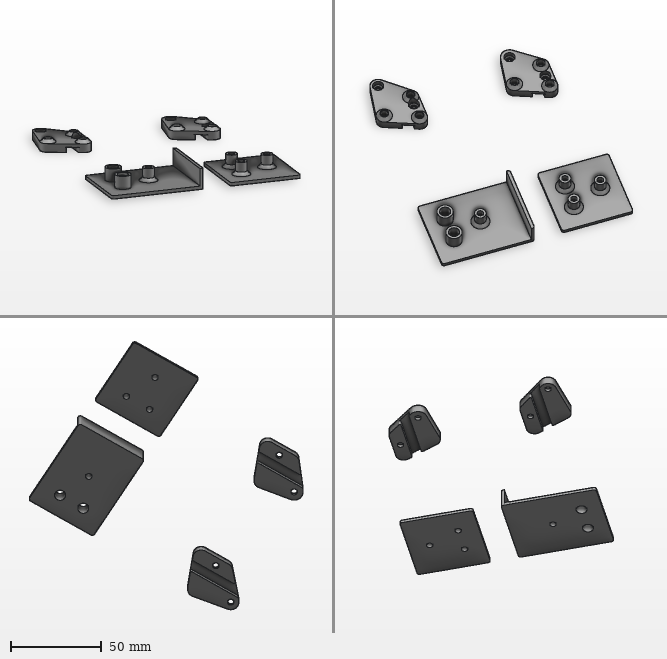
import cadquery as cq
import math

half_pitch = 7.5
post_rise = 18.0

plate_bottom = 2.0
plate_thickness = 2.0
plate_top = plate_bottom + plate_thickness
plate_width = 42.0
plate_corner_radius = 1.5
pair_margin = 11.5
back_apex_margin = 12.0
front_apex_margin = 24.5
back_pair_y = 0.0
front_pair_y = -70.0
wall_thickness = 2.0
wall_top = 14.0

post_top = 11.5
slim_post_diameter = 6.5
slim_bore = 3.5
wide_post_diameter = 9.0
wide_bore = 6.0
collar_height = 2.0

lever_thickness = 5.0
boss_radius = 4.5
boss_tip_diameter = 4.8
boss_height = 2.0
boss_floor = 2.0
screw_hole = 3.5
screw_recess = 6.0
recess_floor = 2.0
arm_dx = -18.5
arm_dy = -14.5
slot_width = 6.0
slot_depth = 3.0
slot_center_y = -7.0
slot_mouth_radius = 0.55

back_lever_x = -82.5
back_lever_y = back_pair_y - arm_dy
back_hole_shift = 0.0
back_arm_radius = 5.0
back_boss_hole = 4.8

front_lever_x = -85.49
front_lever_y = -60.5
front_hole_shift = -2.0
front_arm_radius = boss_radius
front_boss_hole = 4.0


def cylinder(x, y, diameter, bottom, top):
    return cq.Workplane("XY", origin=(x, y, bottom)).circle(diameter / 2).extrude(top - bottom)


def cone(x, y, foot_radius, tip_radius, bottom, height):
    axis_foot = cq.Vector(x, y, bottom)
    return cq.Workplane(cq.Solid.makeCone(foot_radius, tip_radius, height, axis_foot))


def flat_plate(pair_y, apex_margin, top):
    """Block with rounded vertical edges around the mounting pattern."""
    depth = pair_margin + post_rise + apex_margin
    center_y = pair_y - pair_margin + depth / 2
    return (
        cq.Workplane("XY", origin=(0, center_y, plate_bottom))
        .rect(plate_width, depth)
        .extrude(top - plate_bottom)
        .edges("|Z")
        .fillet(plate_corner_radius)
    )


def add_slim_post(plate, x, y):
    """Bored post with a conical collar at its foot."""
    post_radius = slim_post_diameter / 2
    plate = plate.union(cone(x, y, post_radius + collar_height, post_radius, plate_top, collar_height))
    plate = plate.union(cylinder(x, y, slim_post_diameter, plate_top, post_top))
    return plate.cut(cylinder(x, y, slim_bore, plate_bottom, post_top))


def add_wide_post(plate, x, y):
    plate = plate.union(cylinder(x, y, wide_post_diameter, plate_top, post_top))
    return plate.cut(cylinder(x, y, wide_bore, plate_bottom, post_top))


def make_back_plate():
    plate = flat_plate(back_pair_y, back_apex_margin, plate_top)
    plate = add_slim_post(plate, 0, back_pair_y + post_rise)
    for x in (-half_pitch, half_pitch):
        plate = add_slim_post(plate, x, back_pair_y)
    return plate


def make_front_plate():
    block = flat_plate(front_pair_y, front_apex_margin, wall_top)
    wall_inner_y = front_pair_y + post_rise + front_apex_margin - wall_thickness
    floor_length = wall_inner_y - front_pair_y + pair_margin
    clearance = (
        cq.Workplane("XY", origin=(0, wall_inner_y - floor_length / 2, plate_top))
        .rect(plate_width, floor_length)
        .extrude(wall_top - plate_top)
    )
    plate = block.cut(clearance)
    plate = add_slim_post(plate, 0, front_pair_y + post_rise)
    for x in (-half_pitch, half_pitch):
        plate = add_wide_post(plate, x, front_pair_y)
    return plate


def hull_outline(circles):
    """Closed outline around circles (x, y, radius) listed counter-clockwise, joined by tangent lines."""
    normal_angles = []
    for (x0, y0, r0), (x1, y1, r1) in zip(circles, circles[1:] + circles[:1]):
        length = math.hypot(x1 - x0, y1 - y0)
        heading = math.atan2(y1 - y0, x1 - x0)
        normal_angles.append(heading - math.acos((r0 - r1) / length))

    def on_circle(circle, angle):
        x, y, radius = circle
        return (x + radius * math.cos(angle), y + radius * math.sin(angle))

    outline = cq.Workplane("XY").moveTo(*on_circle(circles[0], normal_angles[0]))
    for index, angle in enumerate(normal_angles):
        following = (index + 1) % len(circles)
        circle = circles[following]
        turn = (normal_angles[following] - angle) % (2 * math.pi)
        outline = outline.lineTo(*on_circle(circle, angle))
        outline = outline.threePointArc(on_circle(circle, angle + turn / 2), on_circle(circle, angle + turn))
    return outline.close()


def make_lever(x, y, hole_shift, arm_radius, boss_hole):
    """Lever with its boss pair centred on (x, y)."""
    bosses = [(0, -post_rise), (half_pitch, 0), (-half_pitch, 0)]
    arm_hole = (hole_shift + arm_dx, arm_dy)
    screw_points = [(hole_shift, 0), arm_hole]

    circles = [(bx, by, boss_radius) for bx, by in bosses] + [(*arm_hole, arm_radius)]
    lever = hull_outline(circles).extrude(lever_thickness)

    slot_length = 2 * (abs(arm_hole[0]) + arm_radius)
    slot = (
        cq.Workplane("XY", origin=(0, slot_center_y, 0))
        .rect(slot_length, slot_width)
        .extrude(slot_depth)
    )
    mouth_half_width = slot_width / 2 + slot_mouth_radius
    mouth_zone = cq.selectors.BoxSelector(
        (-slot_length, slot_center_y - mouth_half_width, 0),
        (slot_length, slot_center_y + mouth_half_width, slot_depth),
    )
    lever = lever.cut(slot).edges("|Z").edges(mouth_zone).fillet(slot_mouth_radius)

    boss_top = lever_thickness + boss_height
    for bx, by in bosses:
        lever = lever.union(cone(bx, by, boss_radius, boss_tip_diameter / 2, lever_thickness, boss_height))
    for bx, by in bosses:
        lever = lever.cut(cylinder(bx, by, boss_hole, boss_floor, boss_top))

    for sx, sy in screw_points:
        lever = lever.cut(cylinder(sx, sy, screw_recess, recess_floor, boss_top))
        lever = lever.cut(cylinder(sx, sy, screw_hole, 0, recess_floor))
    return lever.translate((x, y, 0))


back_plate = make_back_plate()
front_plate = make_front_plate()
back_lever = make_lever(back_lever_x, back_lever_y, back_hole_shift, back_arm_radius, back_boss_hole)
front_lever = make_lever(front_lever_x, front_lever_y, front_hole_shift, front_arm_radius, front_boss_hole)

result = cq.Compound.makeCompound(
    [back_plate.val(), front_plate.val(), back_lever.val(), front_lever.val()]
)